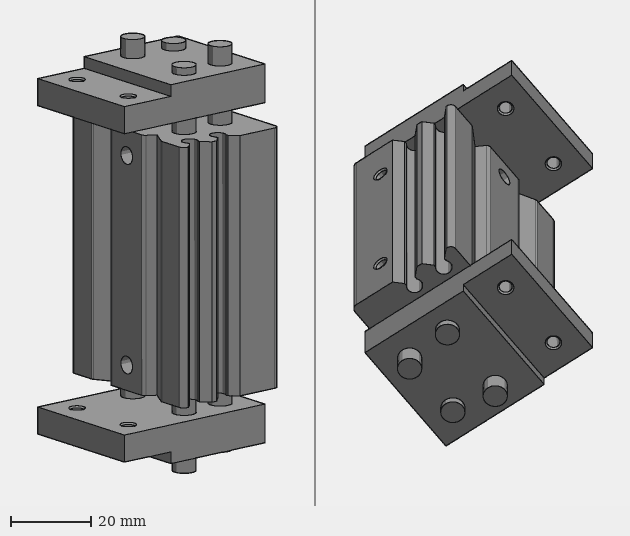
import cadquery as cq
import math


total_length = 108.0
total_depth = 46.0
housing_width = 44.0
housing_depth = 31.2
housing_length = 67.4
corner_radius = 1.5

slot_diameter = 4.1
slot_center_inset = 4.1
slot_neck = 3.2
slot_mouth = 7.6
slot_mouth_depth = (slot_mouth - slot_neck) / 2
first_slot_depth = 16.5
slot_pitch = 9.1
slot_depths = [first_slot_depth, first_slot_depth + slot_pitch]

groove_inner_x = 6.5
groove_span = 7.0
groove_outer_angle = 30.0
groove_edge_radius = 1.2

mount_diameter = 4.5
mount_end_distance = 6.6
port_diameter = 3.2
port_rim_diameter = 4.1
port_straight_depth = 6.0
port_tip_angle = 120.0
port_depth = 9.0
port_end_distance = 12.5

plate_width = 34.0
plate_back_gap = 0.5
plate_thickness = 10.0
plate_step_height = 3.0
plate_step_depth = 31.0
tap_diameter = 3.2
tap_rim_diameter = 4.1
tap_x = 10.0
tap_depth = 39.0
rod_diameter = 6.0
rod_long_end = 5.0
rod_short_end = 1.9
front_rod_x = 10.0
front_rod_depth = 21.0
back_rod_x = 9.1
back_rod_depth = 8.5

plate_outer_z = total_length / 2 - rod_long_end
plate_inner_z = plate_outer_z - plate_thickness

lower_rod_axes = [(-front_rod_x, -front_rod_depth), (back_rod_x, -back_rod_depth)]
upper_rod_axes = [(-x, y) for x, y in lower_rod_axes]


def rods_between(axes, bottom, top):
    """Cylinders of rod size on the given axes."""
    return (
        cq.Workplane("XY", origin=(0, 0, bottom))
        .pushPoints(axes)
        .circle(rod_diameter / 2)
        .extrude(top - bottom)
    )


def hole_with_rim(diameter, rim_diameter, depth, tip_length=0.0):
    """Cutter that starts at the origin, runs along +Z, and has a 45 degree rim chamfer."""
    radius = diameter / 2
    rim_radius = rim_diameter / 2
    outline = [(0, 0), (rim_radius, 0), (radius, rim_radius - radius), (radius, depth)]
    outline.append((0, depth + tip_length))
    return cq.Workplane("XZ").polyline(outline).close().revolve(360, (0, 0), (0, 1))


def extruded_outline(points):
    """Prism over the whole housing length."""
    return (
        cq.Workplane("XY", origin=(0, 0, -housing_length / 2))
        .polyline(points)
        .close()
        .extrude(housing_length)
    )


def sensor_slot(depth):
    """Flared mouth and narrow neck that open into a round channel, on the -X side."""
    face_x = -housing_width / 2
    neck_x = face_x + slot_mouth_depth
    center_x = face_x + slot_center_inset
    mouth = extruded_outline([
        (face_x, -depth + slot_mouth / 2),
        (neck_x, -depth + slot_neck / 2),
        (center_x, -depth + slot_neck / 2),
        (center_x, -depth - slot_neck / 2),
        (neck_x, -depth - slot_neck / 2),
        (face_x, -depth - slot_mouth / 2),
    ])
    channel = (
        cq.Workplane("XY", origin=(center_x, -depth, -housing_length / 2))
        .circle(slot_diameter / 2)
        .extrude(housing_length)
    )
    return mouth.union(channel)


def front_groove():
    """V groove on the +X half of the front face: steep inner wall, gentle outer wall."""
    angle = math.radians(groove_outer_angle)
    outer_wall = groove_span * math.cos(angle)
    outer_x = groove_inner_x + groove_span
    return extruded_outline([
        (groove_inner_x, -housing_depth),
        (outer_x - outer_wall * math.cos(angle), -housing_depth + outer_wall * math.sin(angle)),
        (outer_x, -housing_depth),
    ])


def round_groove_edges(body):
    """Round the edges where the V grooves meet the front face."""
    margin = 0.1
    height = housing_length / 2 + margin
    for side in (-1, 1):
        for x in (groove_inner_x, groove_inner_x + groove_span):
            near_edge = cq.selectors.BoxSelector(
                (side * x - margin, -housing_depth - margin, -height),
                (side * x + margin, -housing_depth + margin, height),
            )
            body = body.edges("|Z").edges(near_edge).fillet(groove_edge_radius)
    return body


def make_housing():
    body = (
        cq.Workplane("XY")
        .box(housing_width, housing_depth, housing_length)
        .translate((0, -housing_depth / 2, 0))
        .edges("|Z")
        .fillet(corner_radius)
    )
    for depth in slot_depths:
        slot = sensor_slot(depth)
        body = body.cut(slot).cut(slot.mirror("YZ"))
    groove = front_groove()
    body = round_groove_edges(body.cut(groove).cut(groove.mirror("YZ")))

    mount_z = housing_length / 2 - mount_end_distance
    mount_holes = (
        cq.Workplane("XZ")
        .pushPoints([(0, -mount_z), (0, mount_z)])
        .circle(mount_diameter / 2)
        .extrude(housing_depth)
    )
    body = body.cut(mount_holes)

    port_z = housing_length / 2 - port_end_distance
    port_tip = port_diameter / 2 / math.tan(math.radians(port_tip_angle / 2))
    port = hole_with_rim(port_diameter, port_rim_diameter, port_straight_depth, port_tip)
    port = port.rotate((0, 0, 0), (0, 1, 0), 90)
    for z in (-port_z, port_z):
        body = body.cut(port.translate((-housing_width / 2, -port_depth, z)))

    rod_axes = lower_rod_axes + upper_rod_axes
    return body.cut(rods_between(rod_axes, -housing_length / 2, housing_length / 2))


def make_lower_slide():
    """End plate below the housing with its two rods, bored for the rods of the other slide."""
    step_z = -plate_outer_z + plate_step_height
    plate = (
        cq.Workplane("YZ", origin=(-plate_width / 2, 0, 0))
        .polyline([
            (-plate_back_gap, -plate_inner_z),
            (-total_depth, -plate_inner_z),
            (-total_depth, step_z),
            (-plate_step_depth, step_z),
            (-plate_step_depth, -plate_outer_z),
            (-plate_back_gap, -plate_outer_z),
        ])
        .close()
        .extrude(plate_width)
    )
    tap_length = plate_thickness - plate_step_height
    half_tap = hole_with_rim(tap_diameter, tap_rim_diameter, tap_length / 2)
    tap = half_tap.union(half_tap.mirror("XY").translate((0, 0, tap_length)))
    for x in (-tap_x, tap_x):
        plate = plate.cut(tap.translate((x, -tap_depth, step_z)))

    plate = plate.cut(rods_between(upper_rod_axes, -plate_outer_z, -plate_inner_z))
    return plate.union(rods_between(lower_rod_axes, -plate_outer_z - rod_short_end, total_length / 2))


housing = make_housing()

slides = []
for turn in (0, 180):
    slide = make_lower_slide().rotate((0, 0, 0), (0, 1, 0), turn)
    slides.append(slide.solids().val())

result = cq.Compound.makeCompound([housing.val(), *slides])